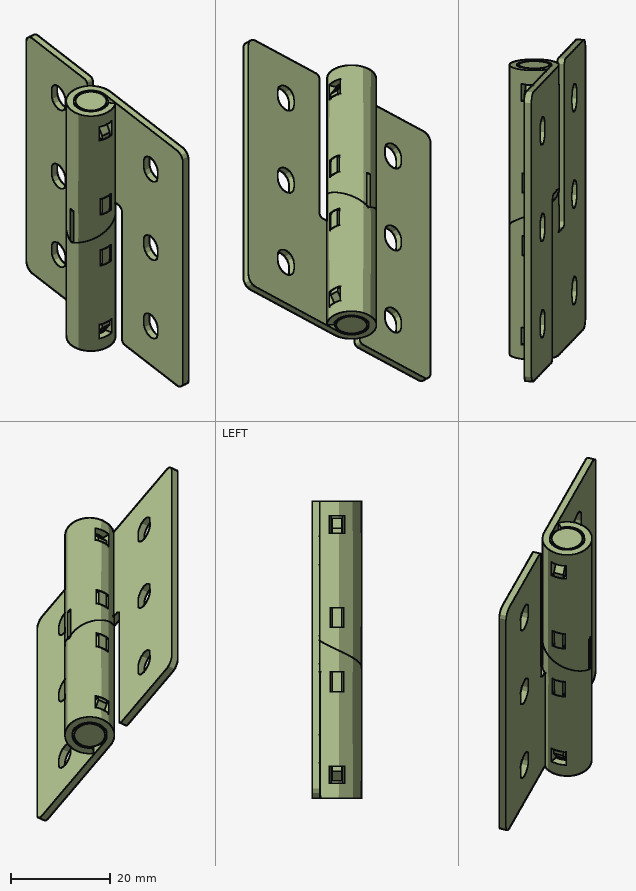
import cadquery as cq
import math


hinge_height = 60.0
hinge_width = 51.0
sheet = 1.5
outer_corner_radius = 2.0
inner_corner_radius = 1.0
half_height = hinge_height / 2
half_width = hinge_width / 2

knuckle_radius = 5.0
bore_radius = knuckle_radius - sheet
roll_start_angle = 90.0
roll_end_angle = 360.0 + 42.0
notch_edge = knuckle_radius + 0.6

cutter_overrun = 1.0

cam_zone_height = 9.0
knuckle_edge = cam_zone_height / 2
cam_rise = 7.4

slot_width = 4.5
slot_length = 5.7
slot_x = 15.0
slot_pitch = 20.0

window_width = 3.2
window_bottom = 23.5
window_height = 3.5
notch_width = 2.8
notch_height = 4.0

hook_width = 2.0
hook_face_height = 1.0
hook_ramp_height = 2.0
key_width = 1.85
tab_root = bore_radius - 0.5
tab_reach = knuckle_radius - 0.1
insert_chamfer = 0.4

groove_width = 1.0
groove_depth = 0.1


def polar(radius, degrees):
    angle = math.radians(degrees)
    return (radius * math.cos(angle), radius * math.sin(angle))


def make_plate():
    """Flat sheet of the leaf on the +X side, with a clearance notch beside the opposite knuckle."""
    outline = [
        (0, half_height),
        (half_width, half_height),
        (half_width, -half_height),
        (notch_edge, -half_height),
        (notch_edge, knuckle_edge),
        (0, knuckle_edge),
    ]
    plate = cq.Workplane("XZ", origin=(0, knuckle_radius, 0)).polyline(outline).close().extrude(sheet)
    plate = plate.edges("|Y and >X").fillet(outer_corner_radius)
    box_margin = 1
    notch_corners = cq.selectors.BoxSelector(
        (notch_edge - box_margin, 0, -half_height - box_margin),
        (notch_edge + box_margin, knuckle_radius, knuckle_edge + box_margin),
    )
    plate = plate.edges("|Y").edges(notch_corners).fillet(inner_corner_radius)
    slot_centers = [(slot_x, row * slot_pitch) for row in (-1, 0, 1)]
    slots = (
        cq.Workplane("XZ", origin=(0, knuckle_radius, 0))
        .pushPoints(slot_centers)
        .slot2D(slot_length, slot_width, 90)
        .extrude(sheet)
    )
    return plate.cut(slots)


def make_wedges(width, bottom, height):
    """Pair of opposed wedges on -X and +X; 'width' is measured at the knuckle surface."""
    reach = knuckle_radius + cutter_overrun
    spread = math.degrees(math.asin(width / 2 / knuckle_radius))
    wedges = cq.Workplane("XY")
    for facing in (0, 180):
        corners = [(0, 0), polar(reach, facing - spread), polar(reach, facing + spread)]
        wedge = cq.Workplane("XY").workplane(offset=bottom).polyline(corners).close().extrude(height)
        wedges = wedges.add(wedge)
    return wedges.combine()


def make_knuckle():
    """Sheet rolled around the axis, starting at the back where it leaves the plate."""
    middle_angle = (roll_start_angle + roll_end_angle) / 2
    knuckle = (
        cq.Workplane("XY")
        .workplane(offset=knuckle_edge)
        .moveTo(*polar(knuckle_radius, roll_start_angle))
        .threePointArc(polar(knuckle_radius, middle_angle), polar(knuckle_radius, roll_end_angle))
        .lineTo(*polar(bore_radius, roll_end_angle))
        .threePointArc(polar(bore_radius, middle_angle), polar(bore_radius, roll_start_angle))
        .close()
        .extrude(half_height - knuckle_edge)
    )
    knuckle = knuckle.cut(make_wedges(window_width, window_bottom, window_height))
    return knuckle.cut(make_wedges(notch_width, knuckle_edge, notch_height))


def make_leaf():
    """Leaf with its plate on +X and its knuckle in the upper half."""
    return make_plate().union(make_knuckle())


def make_tab(profile, width):
    """Flat tab centered on the XZ plane."""
    return cq.Workplane("XZ").polyline(profile).close().extrude(width / 2, both=True)


def make_shank():
    """Part of the insert inside the knuckle, with a hook in each window and a key in each notch."""
    shank = (
        cq.Workplane("XY")
        .workplane(offset=knuckle_edge)
        .circle(bore_radius)
        .extrude(half_height - knuckle_edge)
        .faces(">Z")
        .chamfer(insert_chamfer)
    )
    hook_shoulder = window_bottom + hook_face_height
    hook_top = hook_shoulder + hook_ramp_height
    key_top = knuckle_edge + notch_height
    for side in (-1, 1):
        hook_profile = [
            (side * tab_root, window_bottom),
            (side * tab_reach, window_bottom),
            (side * tab_reach, hook_shoulder),
            (side * bore_radius, hook_top),
            (side * tab_root, hook_top),
        ]
        key_profile = [
            (side * tab_root, knuckle_edge),
            (side * tab_reach, knuckle_edge),
            (side * tab_reach, key_top),
            (side * tab_root, key_top),
        ]
        shank = shank.union(make_tab(hook_profile, hook_width))
        shank = shank.union(make_tab(key_profile, key_width))
    return shank


def make_helicoid():
    """Cam face on the -X side, rising half a turn from the front (-Y) to the back (+Y)."""
    radius = knuckle_radius + cutter_overrun
    full_turn_pitch = 2 * cam_rise
    helix = cq.Wire.makeHelix(full_turn_pitch, cam_rise, radius, lefthand=True)
    helix = helix.rotate(cq.Vector(0, 0, 0), cq.Vector(0, 0, 1), -90)
    helix = helix.translate(cq.Vector(0, 0, -cam_rise / 2))
    axis_line = cq.Edge.makeLine(cq.Vector(0, 0, -cam_rise / 2), cq.Vector(0, 0, cam_rise / 2))
    return cq.Face.makeRuledSurface(helix.Edges()[0], axis_line)


def make_cams():
    """Lower and upper cam: a disc divided by a helical face and its mirror image."""
    half_disc = (
        cq.Workplane("XY")
        .workplane(offset=-knuckle_edge)
        .moveTo(0, -knuckle_radius)
        .threePointArc((-knuckle_radius, 0), (0, knuckle_radius))
        .close()
        .extrude(cam_zone_height)
    )
    pieces = half_disc.val().split(make_helicoid()).Solids()
    pieces.sort(key=lambda piece: piece.Center().z)
    cams = []
    for piece in pieces:
        half = cq.Workplane(piece)
        cams.append(half.union(half.mirror("YZ")))
    return cams


def make_groove():
    """Cutter with a floor concentric with the cam."""
    strip = (
        cq.Workplane("XY")
        .workplane(offset=-knuckle_edge)
        .center(0, -knuckle_radius)
        .rect(groove_width, knuckle_radius)
        .extrude(cam_zone_height)
    )
    core = (
        cq.Workplane("XY")
        .workplane(offset=-knuckle_edge)
        .circle(knuckle_radius - groove_depth)
        .extrude(cam_zone_height)
    )
    return strip.cut(core)


def turn_over(body):
    """Half turn about Y, which swaps left with right and top with bottom."""
    return body.rotate((0, 0, 0), (0, 1, 0), 180)


def make_hinge_half(cam):
    """Right-hand leaf joined to its insert, with the cam below the shank."""
    insert = cam.union(make_shank())
    return insert.union(make_leaf(), clean=False)


lower_cam, upper_cam = make_cams()

upper_half = make_hinge_half(upper_cam.cut(make_groove()))

lower_half = turn_over(make_hinge_half(turn_over(lower_cam)))

result = cq.Compound.makeCompound([upper_half.val(), lower_half.val()])